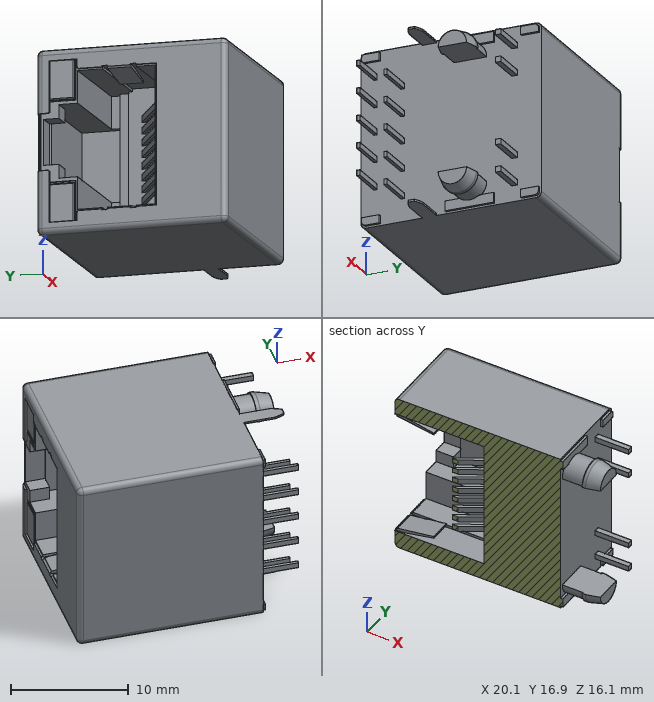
import cadquery as cq
import math

length = 20.08
width = 16.9
height = 16.1
body_length = 16.43
corner_radius = 0.5
shield_thickness = 0.18

front_x = -length / 2
back_x = front_x + body_length
end_x = length / 2
half_width = width / 2
half_height = height / 2
housing_front_x = front_x + shield_thickness
housing_half_width = half_width - shield_thickness
housing_half_height = half_height - shield_thickness
embed = 0.2

opening_min_y = -2.17
opening_half_height = 6.2
lamp_min_y = 4.85
lamp_max_y = 7.33
lamp_half_height = 7.05
notch_half_height = 2.49
notch_depth = 0.6
bend_relief = 0.1

spring_y = 1.15
spring_width = 2.09
spring_length = 3.82
spring_tip_z = 5.5
spring_bend_x = 0.2
spring_bend_drop = 0.15
channel_width = 3.01
channel_half_height = opening_half_height + bend_relief

plug_min_y = -2.0
plug_max_y = lamp_min_y
plug_half_height = 6.06
plug_back_x = 0.0
ledge_y = 3.94
ledge_x = -0.6
comb_y = 2.97
comb_x = -1.2
latch_half_height = 3.21
latch_front_max_y = 6.53
latch_max_y = 7.7
latch_back_x = 0.6
key_half_height = 2.0
key_max_y = 7.87
key_depth = 1.93

lamp_pocket_min_y = 5.05
lamp_pocket_min_z = 3.51
lamp_gap = 0.15
lamp_pocket_depth = 0.2
lamp_chamfer = 0.1

contact_count = 8
contact_pitch = 1.02
contact_width = 0.55
contact_tip_y = 1.8
contact_thickness = 0.3
contact_angle = 30.0

signal_count = 10
signal_pitch = 1.27
pin_width = 0.5
signal_pin_thickness = 0.3
signal_near_y = -7.07
signal_row_spacing = 2 * signal_pitch
signal_pin_end_x = 9.88
lamp_pin_y = 5.95
lamp_pin_inner_z = 3.8
lamp_pin_outer_z = lamp_pin_inner_z + 2 * signal_pitch
lamp_pin_end_x = 9.72
tab_y = -2.03
tab_half_width = 0.66
tab_taper_x = 9.04
tab_tip_half_width = 0.28
tab_bulge_x = 9.62
tab_bulge_half_width = 0.5
peg_y = 1.8
peg_z = 5.75
peg_radius = 1.53
collar_radius = 1.65
peg_tip_radius = 1.33
collar_start_x = 8.41
collar_end_x = 8.75
standoff_height = 0.25
corner_standoff_width = 1.65
corner_standoff_depth = 0.75
middle_standoff_width = 4.54
middle_standoff_depth = 0.9
standoff_radius = corner_radius - shield_thickness


def box(x0, x1, y0, y1, z0, z1):
    return cq.Workplane("XY").box(x1 - x0, y1 - y0, z1 - z0, centered=False).translate((x0, y0, z0))


def centered_box(x0, x1, y, z, size_y, size_z):
    return box(x0, x1, y - size_y / 2, y + size_y / 2, z - size_z / 2, z + size_z / 2)


def slot_box(x0, x1, y0, y1, half_z):
    return box(x0, x1, y0, y1, -half_z, half_z)


def both_sides(shape):
    """The shape together with its mirror image about the Z = 0 plane."""
    return shape.union(shape.mirror("XY"))


def make_body():
    body = slot_box(front_x, back_x, -half_width, half_width, half_height)
    return body.edges("|X or <X").fillet(corner_radius)


def shield_opening():
    """Stepped opening that leaves the housing face one shield thickness behind the front."""
    half = (
        cq.Workplane("YZ", origin=(front_x, 0, 0))
        .moveTo(half_width, 0)
        .lineTo(half_width, notch_half_height)
        .lineTo(lamp_max_y + bend_relief, notch_half_height)
        .lineTo(lamp_max_y, notch_half_height + bend_relief)
        .lineTo(lamp_max_y, lamp_half_height)
        .lineTo(lamp_min_y, lamp_half_height)
        .lineTo(lamp_min_y, opening_half_height + bend_relief)
        .lineTo(lamp_min_y - bend_relief, opening_half_height)
        .lineTo(opening_min_y, opening_half_height)
        .lineTo(opening_min_y, 0)
        .close()
        .extrude(shield_thickness)
    )
    return both_sides(half)


def shield_notch():
    """Notch in the +Y wall of the shield, with the housing edge under it chamfered."""
    notch = slot_box(front_x, front_x + notch_depth, housing_half_width, half_width, notch_half_height)
    chamfer = (
        cq.Workplane("XY", origin=(0, 0, -notch_half_height))
        .moveTo(housing_front_x, housing_half_width - shield_thickness)
        .lineTo(housing_front_x, housing_half_width)
        .lineTo(housing_front_x + shield_thickness, housing_half_width)
        .close()
        .extrude(2 * notch_half_height)
    )
    return notch.union(chamfer)


def plug_cavity():
    plug = slot_box(front_x, comb_x, plug_min_y, plug_max_y, plug_half_height)
    above_comb = slot_box(front_x, ledge_x, comb_y, plug_max_y, plug_half_height)
    above_ledge = slot_box(front_x, plug_back_x, ledge_y, plug_max_y, plug_half_height)
    latch = slot_box(front_x, latch_back_x, ledge_y, latch_front_max_y, latch_half_height)
    key = slot_box(front_x, front_x + key_depth, latch_front_max_y, key_max_y, key_half_height)
    latch_room = slot_box(front_x + key_depth, latch_back_x, ledge_y, latch_max_y, latch_half_height)
    return plug.union(above_comb).union(above_ledge).union(latch).union(key).union(latch_room)


def spring_channels():
    return centered_box(front_x, comb_x, spring_y, 0, channel_width, 2 * channel_half_height)


def spring():
    """Tongue folded in from the shield edge and sloping into the plug cavity."""
    root_z = opening_half_height
    profile = (
        cq.Workplane("XZ", origin=(0, spring_y + spring_width / 2, 0))
        .moveTo(front_x, root_z + embed)
        .lineTo(front_x, root_z)
        .radiusArc((front_x + spring_bend_x, root_z - spring_bend_drop), spring_bend_x)
        .lineTo(front_x + spring_length, spring_tip_z)
        .lineTo(front_x + spring_length, spring_tip_z + shield_thickness)
        .lineTo(front_x + shield_thickness, root_z + embed)
        .close()
    )
    return profile.extrude(spring_width)


def lamp_pocket():
    pocket_back_x = housing_front_x + lamp_pocket_depth
    return box(front_x, pocket_back_x, lamp_pocket_min_y, lamp_max_y, lamp_pocket_min_z, lamp_half_height)


def lamp():
    lens = box(
        housing_front_x,
        housing_front_x + lamp_pocket_depth + embed,
        lamp_pocket_min_y + lamp_gap,
        lamp_max_y,
        lamp_pocket_min_z + lamp_gap,
        lamp_half_height,
    )
    return lens.faces("<X").edges("<Y or <Z").chamfer(lamp_chamfer)


def contact(z):
    """Blade rising from the cavity wall near the front up to the comb at the back."""
    run = (contact_tip_y - plug_min_y) / math.tan(math.radians(contact_angle))
    drop = contact_thickness / math.cos(math.radians(contact_angle))
    start_x = comb_x - run
    return (
        cq.Workplane("XY", origin=(0, 0, z - contact_width / 2))
        .moveTo(start_x, plug_min_y - drop)
        .lineTo(start_x, plug_min_y)
        .lineTo(comb_x, contact_tip_y)
        .lineTo(comb_x + embed, contact_tip_y)
        .lineTo(comb_x + embed, contact_tip_y - drop)
        .lineTo(comb_x, contact_tip_y - drop)
        .close()
        .extrude(contact_width)
    )


def signal_pin(index):
    """Pins alternate between two rows along Y."""
    z = (index - (signal_count - 1) / 2) * signal_pitch
    row = (index + 1) % 2
    y = signal_near_y + row * signal_row_spacing
    return centered_box(back_x - embed, signal_pin_end_x, y, z, signal_pin_thickness, pin_width)


def lamp_pin(z):
    return centered_box(back_x - embed, lamp_pin_end_x, lamp_pin_y, z, pin_width, pin_width)


def shield_tab():
    return (
        cq.Workplane("XY", origin=(0, tab_y, housing_half_height))
        .moveTo(back_x - embed, -tab_half_width)
        .lineTo(tab_taper_x, -tab_half_width)
        .threePointArc((tab_bulge_x, -tab_bulge_half_width), (end_x, -tab_tip_half_width))
        .lineTo(end_x, tab_tip_half_width)
        .threePointArc((tab_bulge_x, tab_bulge_half_width), (tab_taper_x, tab_half_width))
        .lineTo(back_x - embed, tab_half_width)
        .close()
        .extrude(shield_thickness)
    )


def peg():
    """D-section locating peg with a collar and a tapered tip, its flat facing Z = 0."""
    return (
        cq.Workplane("XY", origin=(0, peg_y, peg_z))
        .moveTo(back_x - embed, 0)
        .lineTo(back_x - embed, peg_radius)
        .lineTo(collar_start_x, peg_radius)
        .lineTo(collar_start_x, collar_radius)
        .lineTo(collar_end_x, collar_radius)
        .lineTo(end_x, peg_tip_radius)
        .lineTo(end_x, 0)
        .close()
        .revolve(180, (0, 0, 0), (1, 0, 0))
    )


def standoffs():
    """Corner and middle feet within the housing outline; the -Y, +Z foot keeps a square corner."""
    start_x = back_x - embed
    stop_x = back_x + standoff_height
    outline = slot_box(start_x, stop_x, -housing_half_width, housing_half_width, housing_half_height)
    outline = outline.edges("|X").fillet(standoff_radius)
    corner_y = housing_half_width - corner_standoff_width
    corner_z = housing_half_height - corner_standoff_depth
    feet = centered_box(
        start_x,
        stop_x,
        peg_y,
        housing_half_height - middle_standoff_depth / 2,
        middle_standoff_width,
        middle_standoff_depth,
    )
    feet = feet.union(box(start_x, stop_x, corner_y, half_width, corner_z, half_height))
    feet = feet.union(box(start_x, stop_x, -half_width, -corner_y, corner_z, half_height))
    feet = both_sides(feet).intersect(outline)
    square_foot = box(start_x, stop_x, -housing_half_width, -corner_y, corner_z, housing_half_height)
    return feet.union(square_foot)


result = make_body().cut(shield_opening()).cut(shield_notch())
result = result.cut(plug_cavity()).cut(spring_channels())
result = result.cut(both_sides(lamp_pocket()))
for feature in (lamp(), spring(), shield_tab(), peg()):
    result = result.union(both_sides(feature))
result = result.union(standoffs())
for pin_z in (lamp_pin_inner_z, lamp_pin_outer_z):
    result = result.union(both_sides(lamp_pin(pin_z)))
for i in range(contact_count):
    result = result.union(contact((i - (contact_count - 1) / 2) * contact_pitch))
for i in range(signal_count):
    result = result.union(signal_pin(i))